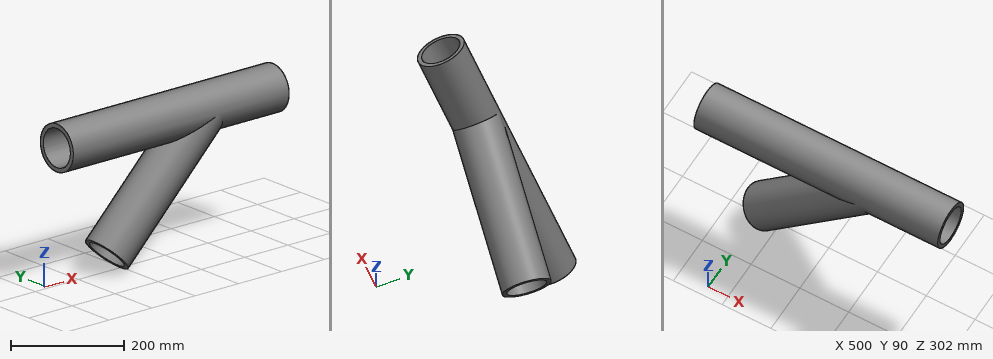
import cadquery as cq

outer_diameter = 90.0
inner_diameter = 73.5

run_length = 500.0
junction_from_left_end = 341.0

branch_length = 318.5
branch_direction = (-1, 0, -1)


def cylinder(start, direction, diameter, length):
    """Solid cylinder starting at a point and extending along a direction."""
    base = cq.Plane(origin=start, xDir=(0, 1, 0), normal=direction)
    return cq.Workplane(base).circle(diameter / 2).extrude(length)


def wye(diameter):
    """Main run and branch of one diameter, joined into one solid."""
    run = cylinder((-junction_from_left_end, 0, 0), (1, 0, 0), diameter, run_length)
    branch = cylinder((0, 0, 0), branch_direction, diameter, branch_length)
    return run.union(branch)


result = wye(outer_diameter).cut(wye(inner_diameter))